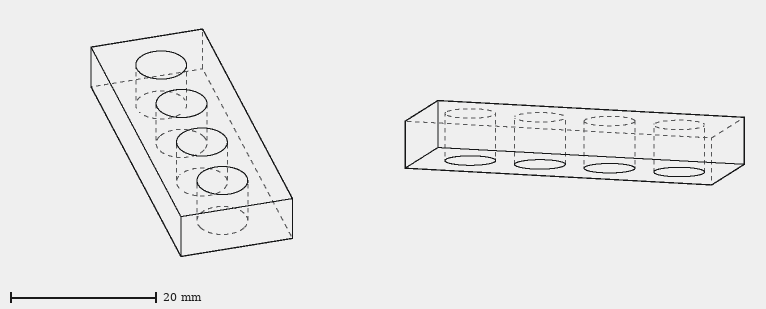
import cadquery as cq

length = 44.0
width = 16.0
height = 6.6

hole_count = 4
hole_diameter = 7.0
hole_pitch = 10.0

block = cq.Workplane("XY").box(length, width, height)

result = (
    block.faces(">Z")
    .workplane()
    .rarray(hole_pitch, 0.45, hole_count, 1)
    .hole(hole_diameter)
)